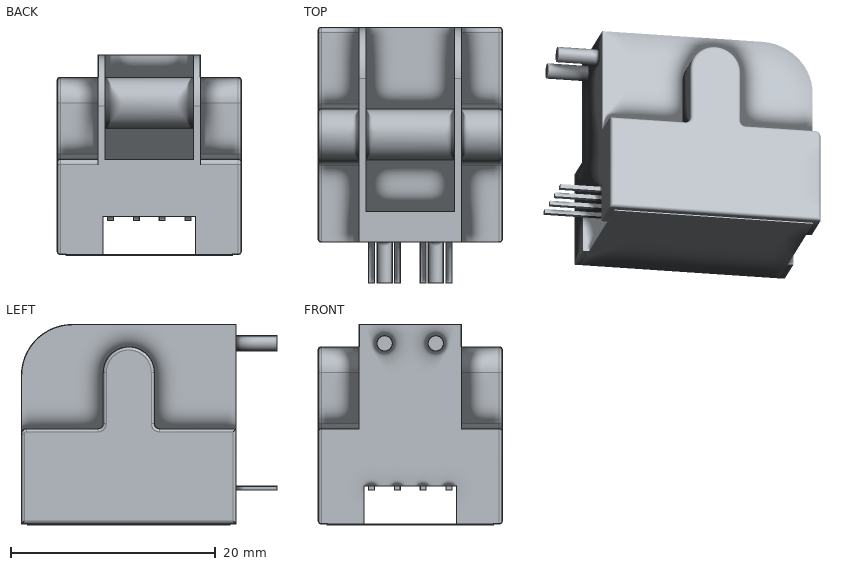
import cadquery as cq

body_width = 18.0
body_length = 21.0
body_height = 19.5
side_round = 0.3

base_height = 9.3
saddle_radius = 2.5
saddle_axis_height = 14.8
saddle_root_fillet = 0.5
back_edge_round = 0.5

housing_width = 10.0
housing_wall = 0.68
front_wall = 3.0
housing_corner_radius = 5.0

channel_width = 9.0
channel_height = 3.7

sheet_thickness = 0.1
sheet_width = 16.25
sheet_length = 19.8

terminal_length = 4.0
round_pin_diameter = 1.5
round_pin_count = 2
round_pin_pitch = 5.0
round_pin_drop = 1.85
flat_pin_count = 4
flat_pin_pitch = 2.52
flat_pin_width = 0.6
flat_pin_thickness = 0.4
flat_pin_inset = front_wall

back_y = body_length / 2
front_y = -body_length / 2
saddle_top = saddle_axis_height + saddle_radius
inner_width = housing_width - 2 * housing_wall


def make_base():
    """Base block joined to the saddle, rounded at both end faces."""
    block = cq.Workplane("XY").box(
        body_width, body_length, base_height, centered=(True, True, False)
    )
    saddle = (
        cq.Workplane("YZ", origin=(-body_width / 2, 0, 0))
        .moveTo(-saddle_radius, 0)
        .lineTo(-saddle_radius, saddle_axis_height)
        .threePointArc((0, saddle_top), (saddle_radius, saddle_axis_height))
        .lineTo(saddle_radius, 0)
        .close()
        .extrude(body_width)
    )
    base = block.union(saddle)
    for root_y in (-saddle_radius, saddle_radius):
        root_edge = cq.selectors.NearestToPointSelector((0, root_y, base_height))
        base = base.edges("|X").edges(root_edge).fillet(saddle_root_fillet)
    back_edge = cq.selectors.NearestToPointSelector((0, back_y, base_height))
    base = base.edges("|X").edges(back_edge).fillet(back_edge_round)
    return base.faces("<X or >X").edges().fillet(side_round)


def make_housing():
    """Tall block around the saddle, with the upper back corner rounded."""
    return (
        cq.Workplane("XY")
        .box(housing_width, body_length, body_height, centered=(True, True, False))
        .edges("|X and >Y and >Z")
        .fillet(housing_corner_radius)
    )


def make_pocket():
    """Space between the side walls, down to the top of the base block."""
    return cq.Workplane("XY", origin=(0, front_y + front_wall, base_height)).box(
        inner_width,
        body_length - front_wall,
        body_height - base_height,
        centered=(True, False, False),
    )


def make_bar():
    """Round bar bridging the pocket, in line with the saddle tops."""
    return (
        cq.Workplane("YZ", origin=(-inner_width / 2, 0, saddle_axis_height))
        .circle(saddle_radius)
        .extrude(inner_width)
    )


def make_channel():
    return cq.Workplane("XY").box(
        channel_width, body_length, channel_height, centered=(True, True, False)
    )


def make_sheet():
    return cq.Workplane("XY", origin=(0, 0, -sheet_thickness)).box(
        sheet_width, sheet_length, sheet_thickness, centered=(True, True, False)
    )


def make_round_pins():
    return (
        cq.Workplane("XZ", origin=(0, front_y, body_height - round_pin_drop))
        .rarray(round_pin_pitch, 0.25, round_pin_count, 1)
        .circle(round_pin_diameter / 2)
        .extrude(terminal_length)
    )


def make_flat_pins():
    """Row of flat pins lying against the channel ceiling and leaving at the front."""
    pin_axis_height = channel_height - flat_pin_thickness / 2
    return (
        cq.Workplane("XZ", origin=(0, front_y + flat_pin_inset, pin_axis_height))
        .rarray(flat_pin_pitch, 0.25, flat_pin_count, 1)
        .rect(flat_pin_width, flat_pin_thickness)
        .extrude(flat_pin_inset + terminal_length)
    )


result = (
    make_base()
    .union(make_housing())
    .cut(make_pocket())
    .union(make_bar())
    .cut(make_channel())
    .union(make_sheet())
    .union(make_round_pins())
    .union(make_flat_pins())
)